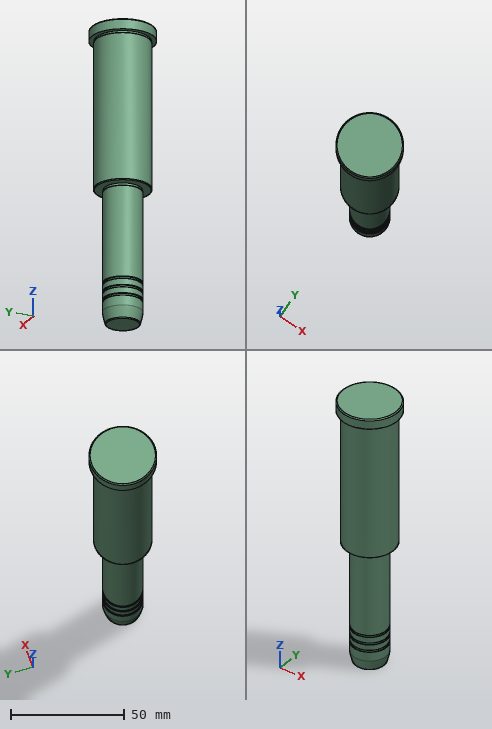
import cadquery as cq

total_length = 140.0
head_diameter = 30.0
head_height = 5.0
head_chamfer = 0.5
body_diameter = 26.0
body_end_depth = 76.0
body_chamfer = 0.4
pin_diameter = 18.0

relief_width = 1.1
relief_depth = 0.3
pin_groove_heights = (19.0, 15.0, 11.0)

lead_in_height = 5.7
tip_radius = 7.8
lead_in_bulge = 0.1
tip_chamfer = 0.4

head_radius = head_diameter / 2
body_radius = body_diameter / 2
pin_radius = pin_diameter / 2
head_bottom = total_length - head_height
body_bottom = total_length - body_end_depth
neck_bottom = body_bottom - relief_width


def cylinder(radius, bottom, top):
    """Solid cylinder on the Z axis between two heights."""
    return cq.Workplane("XY").workplane(offset=bottom).circle(radius).extrude(top - bottom)


def groove_cutter(shaft_radius, flat_wall, direction):
    """Ring with one flat wall; the opposite wall slopes 45 degrees out to the shaft surface.

    direction is +1 when the groove extends upward from the flat wall, -1 when downward.
    """
    floor_radius = shaft_radius - relief_depth
    sloped_wall = flat_wall + direction * relief_width
    floor_end = sloped_wall - direction * relief_depth
    corners = [
        (floor_radius, flat_wall),
        (shaft_radius, flat_wall),
        (shaft_radius, sloped_wall),
        (floor_radius, floor_end),
    ]
    profile = cq.Workplane("XZ").polyline(corners).close()
    return profile.revolve(360, (0, 0, 0), (0, 1, 0))


def make_head():
    head = cylinder(head_radius, head_bottom, total_length)
    return head.faces(">Z").chamfer(head_chamfer)


def make_body():
    body = cylinder(body_radius, body_bottom, head_bottom)
    body = body.faces("<Z").chamfer(body_chamfer)
    return body.cut(groove_cutter(body_radius, head_bottom, -1))


def make_pin():
    pin = cylinder(pin_radius, lead_in_height, neck_bottom)
    pin = pin.union(cylinder(pin_radius - relief_depth, neck_bottom, body_bottom))
    for height in pin_groove_heights:
        pin = pin.cut(groove_cutter(pin_radius, height - relief_width / 2, 1))
    return pin


def make_lead_in():
    """Slightly convex taper with a small chamfer around the flat tip."""
    middle_radius = (pin_radius + tip_radius) / 2 + lead_in_bulge
    middle_height = (lead_in_height + tip_chamfer) / 2
    profile = (
        cq.Workplane("XZ")
        .moveTo(0, 0)
        .lineTo(tip_radius - tip_chamfer, 0)
        .lineTo(tip_radius, tip_chamfer)
        .threePointArc((middle_radius, middle_height), (pin_radius, lead_in_height))
        .lineTo(0, lead_in_height)
        .close()
    )
    return profile.revolve(360, (0, 0, 0), (0, 1, 0))


result = make_head().union(make_body()).union(make_pin()).union(make_lead_in())